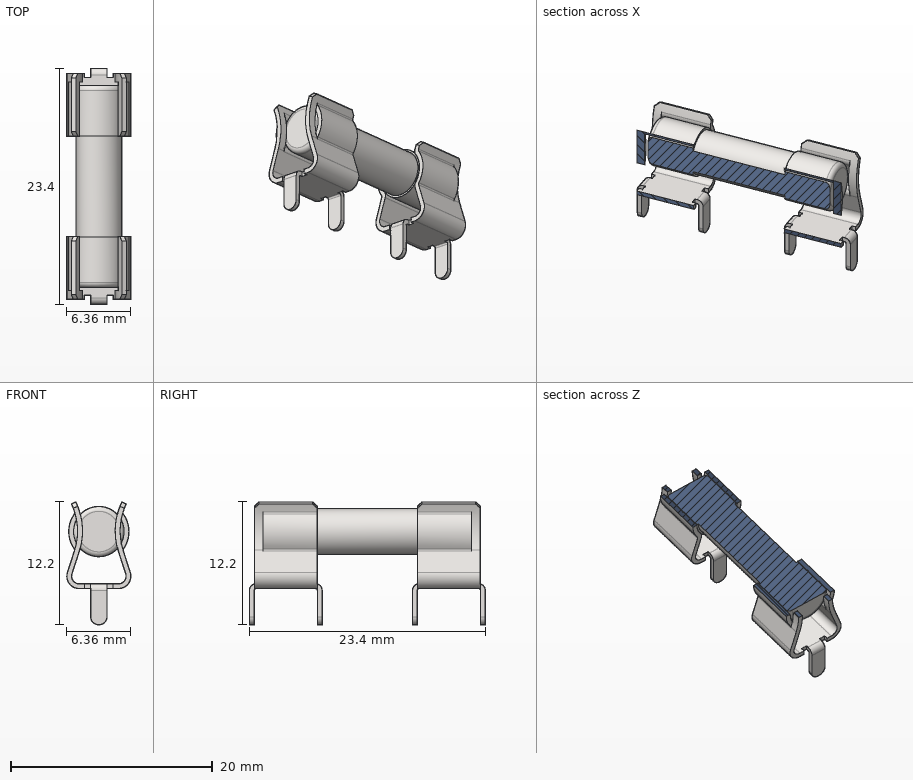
import cadquery as cq
import math


fuse_length = 20.01
cap_length = 5.0
cap_radius = 2.5
glass_radius = 2.3
cap_edge_fillet = 0.5

sheet = 0.5
overall_length = 23.38
overall_height = 12.18
clip_length = 6.25
clip_half_width = 3.18
base_bottom = -5.65
base_bend_radius = 1.25
wall_angle = 18.0
lip_radius = 6.15
lip_angle = 25.8
lip_start = -1.85
lip_corner = 0.47

bulge_radius = cap_radius + sheet
bulge_end_margin = 0.87
bulge_fillet = 0.23

leg_width = 1.64
leg_tip_radius = 0.8
leg_bend_radius = 0.65
notch_width = 0.6
notch_depth = 0.4

clip_outer_y = overall_length / 2 - sheet
clip_inner_y = clip_outer_y - clip_length
base_top = base_bottom + sheet

bend_x = base_bend_radius - clip_half_width
bend_z = base_bottom + base_bend_radius
lean = math.radians(wall_angle)
flare = math.radians(lip_angle)
wall_foot_x = bend_x - base_bend_radius * math.cos(lean)
wall_foot_z = bend_z + base_bend_radius * math.sin(lean)
lip_start_x = wall_foot_x + (lip_start - wall_foot_z) * math.tan(lean)
lip_x = lip_start_x - lip_radius * math.cos(lean)
lip_z = lip_start + lip_radius * math.sin(lean)
lip_top_z = lip_z + (lip_radius + sheet) * math.sin(flare)
leg_bottom = lip_top_z - overall_height


def on_bend(depth, angle):
    """Point of the base bend at a depth below the outer face; angle is above horizontal."""
    radius = base_bend_radius - depth
    return bend_x - radius * math.cos(angle), bend_z + radius * math.sin(angle)


def on_lip(depth, angle):
    """Point of the lip arc at a depth below the outer face; angle is above horizontal."""
    radius = lip_radius + depth
    return lip_x + radius * math.cos(angle), lip_z + radius * math.sin(angle)


def along_y(sketch, y_start, y_end):
    """Extrude an XZ sketch between two Y positions."""
    return sketch.extrude(y_end - y_start).translate((0, y_end, 0))


def sheet_profile():
    """Left half of the clip cross-section."""
    down_left = -math.pi / 4
    return (
        cq.Workplane("XZ")
        .moveTo(0, base_bottom)
        .lineTo(bend_x, base_bottom)
        .threePointArc(on_bend(0, down_left), on_bend(0, lean))
        .lineTo(*on_lip(0, -lean))
        .threePointArc(on_lip(0, 0), on_lip(0, flare))
        .lineTo(*on_lip(sheet, flare))
        .threePointArc(on_lip(sheet, 0), on_lip(sheet, -lean))
        .lineTo(*on_bend(sheet, lean))
        .threePointArc(on_bend(sheet, down_left), (bend_x, base_top))
        .lineTo(0, base_top)
        .close()
    )


def outside_wall_profile():
    """Everything to the left of the inner face of the left lip."""
    far_x = -2 * clip_half_width
    return (
        cq.Workplane("XZ")
        .moveTo(*on_lip(sheet, -lean))
        .threePointArc(on_lip(sheet, 0), on_lip(sheet, flare))
        .lineTo(far_x, lip_top_z)
        .lineTo(far_x, on_lip(sheet, -lean)[1])
        .close()
    )


def round_bulge_edges(half, edge_radius, fillet_radius):
    """Fillet the lengthwise bulge edges that lie at a radius from the fuse axis."""
    tolerance = 0.002

    def at_edge_radius(edge):
        centre = edge.Center()
        return abs(math.hypot(centre.x, centre.z) - edge_radius) < tolerance

    return half.edges("|Y").filter(at_edge_radius).fillet(fillet_radius)


def half_clip_sheet():
    """Left half of the bent sheet with its bulge and its chamfered lip corners."""
    bulge_outer_y = clip_outer_y - bulge_end_margin
    end_wall = along_y(sheet_profile(), bulge_outer_y, clip_outer_y)
    wall = along_y(sheet_profile(), clip_inner_y, bulge_outer_y)
    pocket = along_y(cq.Workplane("XZ").circle(cap_radius), clip_inner_y, bulge_outer_y)
    ring = along_y(cq.Workplane("XZ").circle(bulge_radius).circle(cap_radius), clip_inner_y, bulge_outer_y)
    outside = along_y(outside_wall_profile(), clip_inner_y, bulge_outer_y)
    half = wall.cut(pocket).union(ring.intersect(outside))
    half = round_bulge_edges(half, bulge_radius, bulge_fillet)
    half = round_bulge_edges(half, cap_radius, bulge_fillet + sheet)
    half = half.union(end_wall)
    return half.faces(">Z").edges("not |Y").chamfer(lip_corner)


def solder_leg():
    """Leg that continues the base past its outer end and bends straight down."""
    leg_outer_y = clip_outer_y + sheet
    bend_y = leg_outer_y - leg_bend_radius
    bend_z_centre = base_top - leg_bend_radius
    leg = (
        cq.Workplane("YZ")
        .moveTo(clip_outer_y - notch_depth, base_top)
        .lineTo(bend_y, base_top)
        .radiusArc((leg_outer_y, bend_z_centre), leg_bend_radius)
        .lineTo(leg_outer_y, leg_bottom)
        .lineTo(clip_outer_y, leg_bottom)
        .lineTo(clip_outer_y, bend_z_centre)
        .radiusArc((bend_y, base_bottom), sheet - leg_bend_radius)
        .lineTo(clip_outer_y - notch_depth, base_bottom)
        .close()
        .extrude(leg_width / 2, both=True)
    )
    return leg.edges("|Y and <Z").fillet(leg_tip_radius)


def clip():
    """One fuse clip at the +Y end."""
    half = half_clip_sheet()
    body = half.union(half.mirror("YZ"))
    notch_span = leg_width + 2 * notch_width
    notch = cq.Workplane("XY").box(notch_span, 2 * notch_depth, 2 * sheet).translate((0, 0, base_bottom))
    for end_y in (clip_inner_y, clip_outer_y):
        body = body.cut(notch.translate((0, end_y, 0)))
    leg = solder_leg()
    body = body.union(leg)
    body = body.union(leg.mirror("XZ").translate((0, clip_inner_y + clip_outer_y, 0)))
    return body


def fuse():
    """Glass tube with a larger metal cap on each end."""
    body = cq.Workplane("XZ").circle(glass_radius).extrude(fuse_length / 2, both=True)
    for cap_y in (-fuse_length / 2, fuse_length / 2 - cap_length):
        cap = along_y(cq.Workplane("XZ").circle(cap_radius), cap_y, cap_y + cap_length)
        body = body.union(cap)
    return body.faces("<Y or >Y").edges().fillet(cap_edge_fillet)


fuse_body = fuse()
back_clip = clip()
clips = [back_clip, back_clip.mirror("XZ")]
result = cq.Compound.makeCompound([fuse_body.val(), *[body.val() for body in clips]])